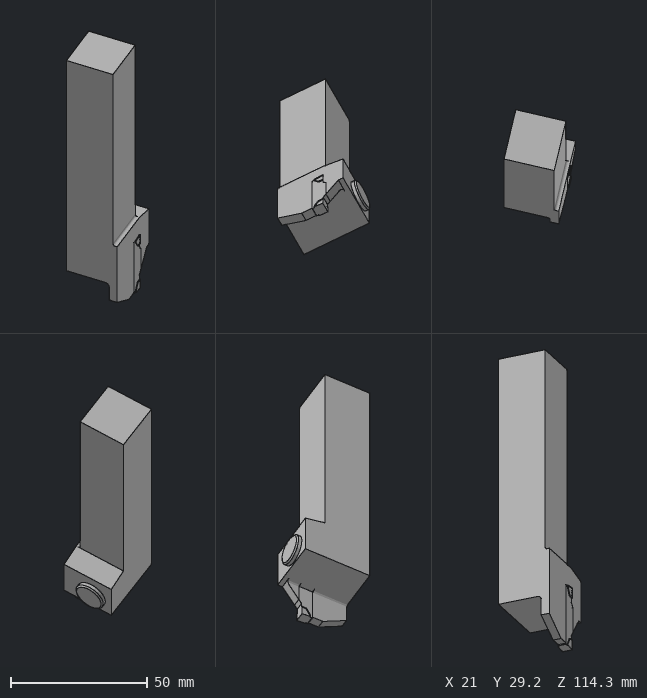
import cadquery as cq

TOTAL_LENGTH = 114.3
SHANK_SIZE = 19.0

HEAD_DEPTH = 27.2
HEAD_BOTTOM = 14.6
HEAD_SHOULDER = 33.3
RAMP_DROP = 2.0
SHOULDER_FILLET = 0.9

BLADE_WIDTH = 3.3
BLADE_LEFT = 17.4
BLADE_RIGHT = BLADE_LEFT + BLADE_WIDTH
BLADE_TOP_DEPTH = 25.3
BLADE_BOTTOM = 0.9
BEVEL_START = 6.9
BEVEL_DEPTH = 10.1
BLADE_FILLET = 1.6

SCREW_DIAMETER = 11.9
SCREW_HEIGHT = 2.0
SCREW_X = 8.6
SCREW_Z = 21.6
SCREW_CHAMFER = 0.6

INSERT_LENGTH = 25.1
INSERT_BACK = 14.4
INSERT_FRONT = 20.1
EDGE_DEPTH = SHANK_SIZE
RAKE_LENGTH = 5.8
RAKE_RAMP_END = 7.5
CLEARANCE_RISE = 0.5
PAD_PROUD = 0.3
PAD_HEIGHT = 4.1
PAD_SHOULDER_DEPTH = 17.0
PAD_SHOULDER_HEIGHT = 3.9
PAD_BACK = 15.3
PAD_BACK_HEIGHT = 0.9


def side_plate(points, left, right):
    """Extrude a (Y, Z) outline along X from left to right."""
    return cq.Workplane("YZ", origin=(left, 0, 0)).polyline(points).close().extrude(right - left)


def make_insert():
    middle = INSERT_LENGTH / 2
    half_body = side_plate(
        [
            (INSERT_BACK, CLEARANCE_RISE),
            (EDGE_DEPTH, 0),
            (EDGE_DEPTH, RAKE_LENGTH),
            (INSERT_FRONT, RAKE_RAMP_END),
            (INSERT_FRONT, middle),
            (INSERT_BACK, middle),
        ],
        BLADE_LEFT,
        BLADE_RIGHT,
    )
    clearance_slope = CLEARANCE_RISE / (EDGE_DEPTH - INSERT_BACK)
    pad = side_plate(
        [
            (EDGE_DEPTH, 0),
            (EDGE_DEPTH, PAD_HEIGHT),
            (PAD_SHOULDER_DEPTH, PAD_SHOULDER_HEIGHT),
            (PAD_BACK, PAD_BACK_HEIGHT),
            (PAD_BACK, clearance_slope * (EDGE_DEPTH - PAD_BACK)),
        ],
        BLADE_LEFT - PAD_PROUD,
        BLADE_RIGHT + PAD_PROUD,
    )
    half = half_body.union(pad)
    return half.union(half.mirror("XY", (0, 0, middle))).clean()


def make_shank_and_head():
    shank = (
        cq.Workplane("XZ")
        .moveTo(0, HEAD_BOTTOM)
        .lineTo(BLADE_RIGHT, HEAD_BOTTOM)
        .lineTo(BLADE_RIGHT, HEAD_SHOULDER)
        .lineTo(SHANK_SIZE + SHOULDER_FILLET, HEAD_SHOULDER)
        .radiusArc((SHANK_SIZE, HEAD_SHOULDER + SHOULDER_FILLET), SHOULDER_FILLET)
        .lineTo(SHANK_SIZE, TOTAL_LENGTH)
        .lineTo(0, TOTAL_LENGTH)
        .close()
        .extrude(-SHANK_SIZE)
    )
    head = side_plate(
        [
            (SHANK_SIZE, HEAD_BOTTOM),
            (HEAD_DEPTH, HEAD_BOTTOM),
            (HEAD_DEPTH, HEAD_SHOULDER - RAMP_DROP),
            (SHANK_SIZE, HEAD_SHOULDER),
        ],
        0,
        BLADE_RIGHT,
    )
    return shank.union(head)


def blade_outline(left, right):
    return side_plate(
        [
            (0, HEAD_BOTTOM),
            (0, BEVEL_START),
            (BEVEL_DEPTH, BLADE_BOTTOM),
            (INSERT_BACK, BLADE_BOTTOM),
            (EDGE_DEPTH, RAKE_LENGTH),
            (BLADE_TOP_DEPTH, HEAD_BOTTOM),
        ],
        left,
        right,
    )


def make_blade():
    blade = blade_outline(BLADE_LEFT, BLADE_RIGHT)
    fillet_left = BLADE_LEFT - BLADE_FILLET
    fillet_bottom = HEAD_BOTTOM - BLADE_FILLET
    fillet = (
        cq.Workplane("XZ")
        .moveTo(fillet_left, HEAD_BOTTOM)
        .lineTo(BLADE_LEFT, HEAD_BOTTOM)
        .lineTo(BLADE_LEFT, fillet_bottom)
        .radiusArc((fillet_left, HEAD_BOTTOM), -BLADE_FILLET)
        .close()
        .extrude(-BLADE_TOP_DEPTH)
        .intersect(blade_outline(fillet_left, BLADE_LEFT))
    )
    seat_relief = cq.Workplane("XY").box(
        BLADE_FILLET, INSERT_FRONT - INSERT_BACK, BLADE_FILLET, centered=False
    ).translate((fillet_left, INSERT_BACK, fillet_bottom))
    return blade.union(fillet.cut(seat_relief))


def make_screw_head():
    return (
        cq.Workplane("XZ", origin=(SCREW_X, HEAD_DEPTH, SCREW_Z))
        .circle(SCREW_DIAMETER / 2)
        .extrude(-SCREW_HEIGHT)
        .faces(">Y")
        .chamfer(SCREW_CHAMFER)
    )


def make_holder(insert):
    body = make_shank_and_head().union(make_blade()).union(make_screw_head())
    return body.cut(insert)


insert = make_insert()
holder = make_holder(insert)

result = cq.Compound.makeCompound([holder.solids().val(), insert.solids().val()])